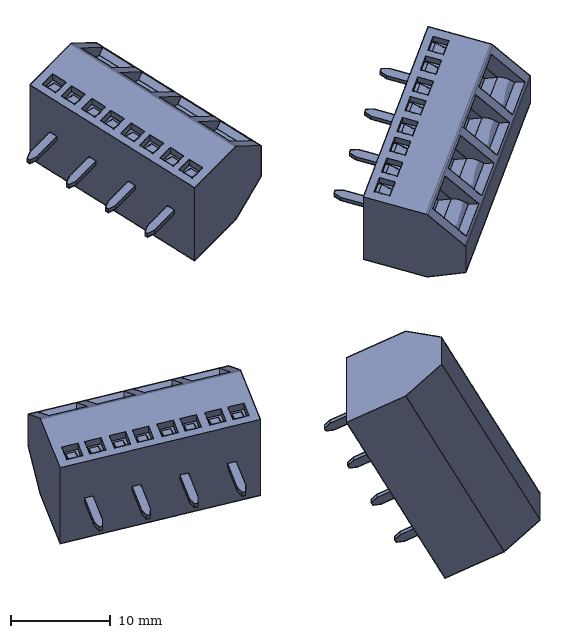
import cadquery as cq
import math

housing_length = 21.0
housing_depth = 10.8
housing_height = 12.0
upper_chamfer = 4.07
lower_chamfer_height = 2.9
chamfer_round = 0.3

pole_count = 4
pole_pitch = 5.0
first_pole_x = (housing_length - (pole_count - 1) * pole_pitch) / 2

entry_width = 4.01
entry_length = 5.0
sill_depth = 0.7
sill_slope = math.radians(45)
funnel_depth = 1.43
ramp_length = 1.65
ramp_start_tilt = math.radians(11)
ramp_end_tilt = math.radians(55)
throat_width = 2.6
throat_depth = 3.0
throat_lean = math.radians(11)

socket_width = 1.7
socket_length = 1.65
socket_depth = 0.97
socket_spacing = 2.42
socket_setback = 0.85
contact_width = 1.0
contact_length = 1.45
contact_height = 0.4
contact_flat = 0.35

pin_width = 0.9
pin_thickness = 0.6
pin_length = 4.01
pin_tip_length = 0.78
pin_tip_width = 0.35
pin_z = housing_height / 2


def make_housing():
    """Side profile with a chamfer above and below, extruded along X; pin face at Y = 0."""
    shoulder_y = housing_depth - upper_chamfer
    profile = [
        (0, 0),
        (shoulder_y, 0),
        (housing_depth, lower_chamfer_height),
        (housing_depth, housing_height - upper_chamfer),
        (shoulder_y, housing_height),
        (0, housing_height),
    ]
    block = cq.Workplane("YZ").polyline(profile).close().extrude(housing_length)
    top_edge = cq.selectors.NearestToPointSelector((housing_length / 2, shoulder_y, housing_height))
    rear_edge = cq.selectors.NearestToPointSelector(
        (housing_length / 2, housing_depth, housing_height - upper_chamfer)
    )
    return block.edges(cq.selectors.SumSelector(top_edge, rear_edge)).fillet(chamfer_round)


def make_wire_entry():
    """Cutter in local axes: X across, Y up the chamfer, Z depth; origin at the mouth centre."""
    lower_end = -entry_length / 2
    upper_end = entry_length / 2
    ramp_start = lower_end + sill_depth / math.tan(sill_slope)
    throat_start = ramp_start + ramp_length
    throat_floor_start = throat_start + (throat_depth - funnel_depth) * math.tan(throat_lean)

    ramp_tangents = [(math.cos(tilt), math.sin(tilt)) for tilt in (ramp_start_tilt, ramp_end_tilt)]
    side_profile = (
        cq.Workplane("YZ", origin=(-entry_width / 2, 0, 0))
        .moveTo(lower_end, 0)
        .lineTo(ramp_start, sill_depth)
        .spline([(throat_start, funnel_depth)], tangents=ramp_tangents, includeCurrent=True)
        .lineTo(throat_floor_start, throat_depth)
        .lineTo(upper_end, throat_depth)
        .lineTo(upper_end, 0)
        .close()
        .extrude(entry_width)
    )
    across_profile = (
        cq.Workplane("XZ")
        .polyline([
            (-entry_width / 2, 0),
            (-throat_width / 2, funnel_depth),
            (-throat_width / 2, throat_depth),
            (throat_width / 2, throat_depth),
            (throat_width / 2, funnel_depth),
            (entry_width / 2, 0),
        ])
        .close()
        .extrude(entry_length / 2, both=True)
    )
    return side_profile.intersect(across_profile)


def place_on_chamfer(cutter, x):
    """Set a local cutter on the middle of the upper chamfer, its depth pointing inward."""
    mouth = cq.Plane(
        origin=(x, housing_depth - upper_chamfer / 2, housing_height - upper_chamfer / 2),
        xDir=(1, 0, 0),
        normal=(0, -1, -1),
    )
    return cq.Workplane(cutter.val().moved(cq.Location(mouth)))


def make_socket(x):
    """Rectangular socket cutter with the sloped contact left standing in it."""
    floor_z = housing_height - socket_depth
    contact_top = floor_z + contact_height
    pocket = cq.Workplane("XY", origin=(x, socket_setback, floor_z)).box(
        socket_width, socket_length, socket_depth, centered=(True, False, False)
    )
    contact = (
        cq.Workplane("YZ", origin=(x, socket_setback, 0))
        .polyline([
            (0, floor_z),
            (0, contact_top),
            (contact_flat, contact_top),
            (contact_length, floor_z),
        ])
        .close()
        .extrude(contact_width / 2, both=True)
    )
    return pocket.cut(contact)


def make_pin(x):
    """Flat pin standing out of the pin face, narrowing to a blunt tip."""
    taper_y = pin_tip_length - pin_length
    return (
        cq.Workplane("XY", origin=(x, 0, pin_z))
        .polyline([
            (-pin_width / 2, 0),
            (-pin_width / 2, taper_y),
            (-pin_tip_width / 2, -pin_length),
            (pin_tip_width / 2, -pin_length),
            (pin_width / 2, taper_y),
            (pin_width / 2, 0),
        ])
        .close()
        .extrude(pin_thickness / 2, both=True)
    )


result = make_housing()
wire_entry = make_wire_entry()
for pole in range(pole_count):
    pole_x = first_pole_x + pole * pole_pitch
    result = result.cut(place_on_chamfer(wire_entry, pole_x))
    for side in (-1, 1):
        result = result.cut(make_socket(pole_x + side * socket_spacing / 2))
    result = result.union(make_pin(pole_x))